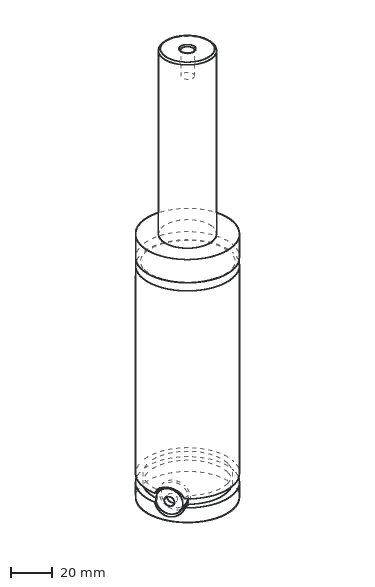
import cadquery as cq
import math

body_diameter = 50.0
body_radius = body_diameter / 2
body_height = 145.5

rod_diameter = 28.0
total_height = 248
rod_chamfer = 1.0
bore_diameter = 6.7
bore_depth = 15
bore_mouth_diameter = 8.2
bore_tip_angle = 118

collar_groove_z = 130.5
collar_groove_radius = 2.2

base_groove_bottom = 8.2
base_groove_top = 13.1
base_groove_depth = 3.5

plug_z = 10.5
pocket_diameter = 16.0
plug_diameter = 14.0
plug_face_y = -24.3
plug_root_y = -17.4
plug_hole_diameter = 5.2
plug_hole_depth = 3.7


def cylinder_up(diameter, bottom, top):
    """Vertical cylinder on the main axis."""
    return cq.Workplane("XY").workplane(offset=bottom).circle(diameter / 2).extrude(top - bottom)


def cylinder_inward(diameter, start_y, end_y):
    """Cylinder along +Y, centred on the filling plug."""
    plane = cq.Plane(origin=(0, end_y, plug_z), xDir=(1, 0, 0), normal=(0, -1, 0))
    return cq.Workplane(plane).circle(diameter / 2).extrude(end_y - start_y)


def make_body():
    body = cylinder_up(body_diameter, 0, body_height)
    collar_groove = cq.Workplane("XY").add(
        cq.Solid.makeTorus(body_radius, collar_groove_radius, cq.Vector(0, 0, collar_groove_z))
    )
    groove_core = cylinder_up(body_diameter - 2 * base_groove_depth, base_groove_bottom, base_groove_top)
    base_groove = cylinder_up(2 * body_diameter, base_groove_bottom, base_groove_top).cut(groove_core)
    return body.cut(collar_groove).cut(base_groove)


def make_rod():
    return cylinder_up(rod_diameter, 0, total_height).faces(">Z").chamfer(rod_chamfer)


def cut_rod_bore(part):
    mouth_chamfer = (bore_mouth_diameter - bore_diameter) / 2
    bore_tip_height = bore_diameter / 2 / math.tan(math.radians(bore_tip_angle / 2))
    bore_bottom = total_height - bore_depth
    profile = [
        (0, total_height),
        (bore_mouth_diameter / 2, total_height),
        (bore_diameter / 2, total_height - mouth_chamfer),
        (bore_diameter / 2, bore_bottom),
        (0, bore_bottom - bore_tip_height),
    ]
    return part.cut(cq.Workplane("XZ").polyline(profile).close().revolve(360, (0, 0), (0, 1)))


def add_plug(part):
    pocket = cylinder_inward(pocket_diameter, -body_diameter, plug_root_y)
    plug = cylinder_inward(plug_diameter, plug_face_y, plug_root_y)
    hole = cylinder_inward(plug_hole_diameter, plug_face_y, plug_face_y + plug_hole_depth)
    return part.cut(pocket).union(plug).cut(hole)


result = add_plug(cut_rod_bore(make_body().union(make_rod())))